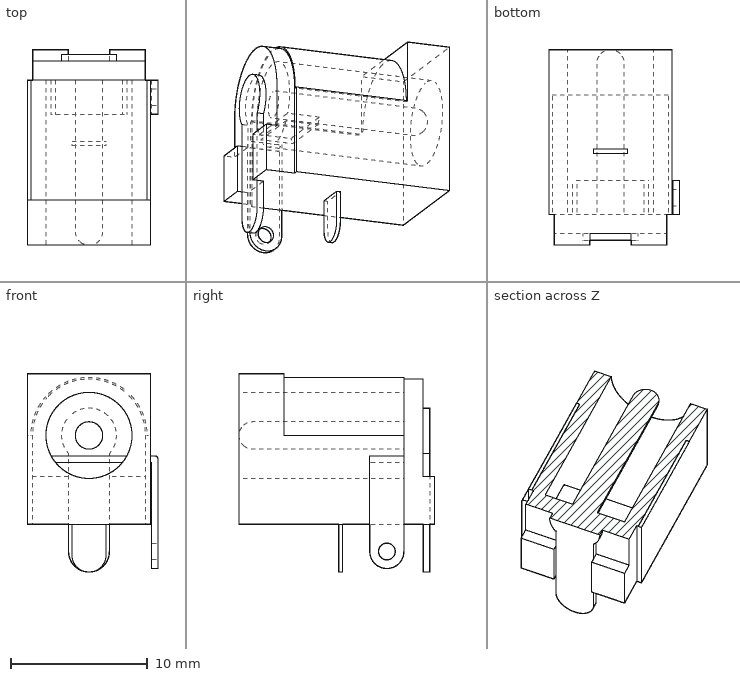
import cadquery as cq


body_width = 9.0
body_height = 11.0
body_depth = 12.06
collar_depth = 3.3
axis_height = 6.5
barrel_radius = 4.25

cover_width = 8.25
cover_back = 13.45
foot_back = 14.3
foot_height = 3.5
foot_gap = 3.0

bore_diameter = 6.3
pin_diameter = 2.0

overall_height = 14.5
terminal_drop = overall_height - body_height
front_terminal_embed = 0.5
rear_terminal_width = 3.0
rear_terminal_back = 13.95
rivet_diameter = 4.0
front_terminal_width = 2.5
front_terminal_thickness = 0.3
front_terminal_y = 7.28

overall_width = 9.55
side_reach = overall_width - body_width / 2
side_thickness = 0.5
side_width = 2.51
side_top = 5.0
side_bend_radius = 0.25
side_hole_height = -1.99
side_hole_diameter = 1.2


def box(x_min, x_max, y_min, y_max, z_min, z_max):
    size = (x_max - x_min, y_max - y_min, z_max - z_min)
    return cq.Workplane("XY").box(*size, centered=False).translate((x_min, y_min, z_min))


def axial_cylinder(diameter, y_min, y_max):
    """Cylinder centred on the plug axis."""
    plane = cq.Workplane("XZ", origin=(0, y_min, axis_height))
    return plane.circle(diameter / 2).extrude(y_min - y_max)


def arched_block(width, radius, y_min, y_max):
    """Straight-sided block up to the plug axis, with a round top."""
    block = box(-width / 2, width / 2, y_min, y_max, 0, axis_height)
    return block.union(axial_cylinder(2 * radius, y_min, y_max))


def round_ended_blade(width, y_min, y_max, z_top):
    """Flat terminal facing along Y, with a full-radius lower end."""
    radius = width / 2
    arc_height = radius - terminal_drop
    outline = (
        cq.Workplane("XZ", origin=(0, y_min, 0))
        .moveTo(-radius, z_top)
        .lineTo(-radius, arc_height)
        .threePointArc((0, -terminal_drop), (radius, arc_height))
        .lineTo(radius, z_top)
        .close()
    )
    return outline.extrude(y_min - y_max)


def make_housing():
    half_width = body_width / 2
    collar = box(-half_width, half_width, 0, collar_depth, 0, body_height)
    barrel = arched_block(body_width, barrel_radius, 0, body_depth)
    cover = arched_block(cover_width, cover_width / 2, body_depth, cover_back)
    housing = collar.union(barrel).union(cover)
    for x_min in (-cover_width / 2, foot_gap / 2):
        x_max = x_min + (cover_width - foot_gap) / 2
        housing = housing.union(box(x_min, x_max, cover_back, foot_back, 0, foot_height))
    return housing.cut(axial_cylinder(bore_diameter, 0, body_depth))


def make_centre_pin():
    """Pin with a hemispherical tip level with the mating face."""
    radius = pin_diameter / 2
    shaft = axial_cylinder(pin_diameter, radius, cover_back)
    tip = cq.Workplane("XY").sphere(radius).translate((0, radius, axis_height))
    return shaft.union(tip)


def make_rear_terminal():
    rivet = axial_cylinder(rivet_diameter, cover_back, rear_terminal_back)
    blade = round_ended_blade(rear_terminal_width, cover_back, rear_terminal_back, axis_height)
    return rivet.union(blade)


def make_front_terminal():
    y_max = front_terminal_y + front_terminal_thickness
    return round_ended_blade(front_terminal_width, front_terminal_y, y_max, front_terminal_embed)


def make_side_terminal():
    y_min = body_depth - side_width
    y_middle = body_depth - side_width / 2
    radius = side_width / 2
    x_min = side_reach - side_thickness
    strip = box(-bore_diameter / 2, side_reach, y_min, body_depth, side_top - side_thickness, side_top)
    leg = (
        cq.Workplane("YZ", origin=(x_min, 0, 0))
        .moveTo(y_min, side_top)
        .lineTo(y_min, side_hole_height)
        .threePointArc((y_middle, side_hole_height - radius), (body_depth, side_hole_height))
        .lineTo(body_depth, side_top)
        .close()
        .extrude(side_thickness)
    )
    hole = (
        cq.Workplane("YZ", origin=(x_min, y_middle, side_hole_height))
        .circle(side_hole_diameter / 2)
        .extrude(side_thickness)
    )
    bent = strip.union(leg).cut(hole).clean()
    return bent.edges("|Y and >X and >Z").fillet(side_bend_radius)


result = (
    make_housing()
    .union(make_centre_pin())
    .union(make_rear_terminal())
    .union(make_front_terminal())
    .union(make_side_terminal())
)